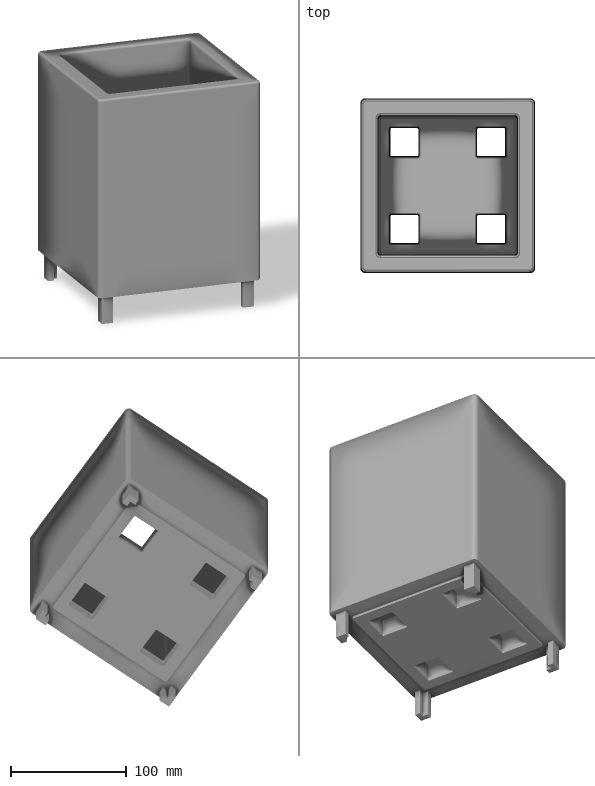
import cadquery as cq

total_height = 205.0
width = 150.0
leg_length = 25.0
body_height = total_height - leg_length

wall = 15.0
floor_thickness = wall
cavity_width = width - 2 * wall
edge_radius = 2.0
outer_corner_radius = 2 * edge_radius

opening_width = 25.0
opening_spacing = width / 2
opening_edge_radius = 1.0
opening_corner_radius = 1.0

leg_width = 10.0
leg_thickness = leg_width / 2
leg_inset = 5.0
legs_outer_width = width - 2 * leg_inset
pad_width = cavity_width
pad_height = 2.5


def square_block(side, height, bottom):
    """Square block centred on the Z axis, standing on the given level."""
    return cq.Workplane("XY").workplane(offset=bottom).rect(side, side).extrude(height)


def make_box():
    """Open-topped box with rounded corners and a rounded rim."""
    box = square_block(width, body_height, leg_length)
    box = box.edges("|Z").fillet(outer_corner_radius)
    cavity_depth = body_height - floor_thickness
    cavity = square_block(cavity_width, cavity_depth, leg_length + floor_thickness)
    cavity = cavity.edges("|Z or <Z").fillet(edge_radius)
    return box.cut(cavity).faces(">Z").edges().fillet(edge_radius)


def make_pad():
    """Shallow pad under the floor with rounded corners."""
    pad = square_block(pad_width, pad_height, leg_length - pad_height)
    return pad.edges("|Z").fillet(edge_radius)


def make_openings():
    """Cutter for the four square openings through the floor and the pad."""
    return (
        cq.Workplane("XY")
        .workplane(offset=leg_length - pad_height)
        .rarray(opening_spacing, opening_spacing, 2, 2)
        .rect(opening_width, opening_width)
        .extrude(pad_height + floor_thickness)
        .edges("|Z")
        .fillet(opening_corner_radius)
    )


def make_legs():
    """Four angle-section legs, each open toward the middle of the box."""
    corners = square_block(legs_outer_width, leg_length, 0)
    hollow = square_block(legs_outer_width - 2 * leg_thickness, leg_length, 0)
    gap = legs_outer_width - 2 * leg_width
    gap_along_x = cq.Workplane("XY").rect(gap, width).extrude(leg_length)
    gap_along_y = cq.Workplane("XY").rect(width, gap).extrude(leg_length)
    return corners.cut(hollow).cut(gap_along_x).cut(gap_along_y)


def round_opening_edges(body):
    """Round the floor-level edges of the four openings."""
    reach = opening_spacing / 2 + opening_width / 2 + opening_edge_radius
    floor_level = leg_length + floor_thickness
    selector = cq.selectors.BoxSelector(
        (-reach, -reach, floor_level - opening_edge_radius),
        (reach, reach, floor_level + opening_edge_radius),
    )
    return body.edges(selector).fillet(opening_edge_radius)


box_with_openings = make_box().union(make_pad()).cut(make_openings())
result = round_opening_edges(box_with_openings).union(make_legs())